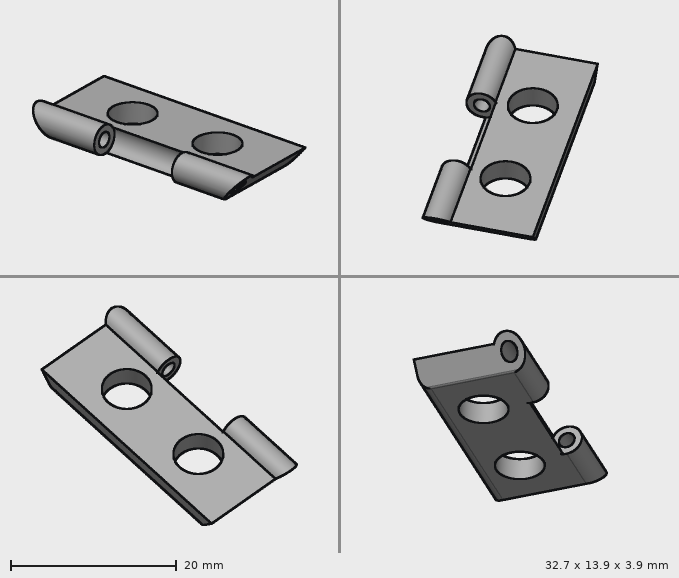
import cadquery as cq
import math

length = 32.68
depth = 13.9
height = 3.9

leaf_thickness = 2.9
back_edge_radius = 1.3
end_angle = 50.0
end_base_fillet = 0.4

barrel_radius = height / 2
pin_diameter = 2.0
barrel_z = height - barrel_radius
back_y = depth - barrel_radius

gap_length = 11.95
gap_radius = 2.0

screw_hole_diameter = 6.0
screw_hole_spacing = 13.07
screw_hole_back_distance = 5.75


def cylinder_along_x(radius, cylinder_length):
    """Cylinder centred in X on the barrel axis."""
    return (
        cq.Workplane("YZ", origin=(-cylinder_length / 2, 0, 0))
        .center(0, barrel_z)
        .circle(radius)
        .extrude(cylinder_length)
    )


def make_leaf():
    """Flat leaf with a rounded lower back edge."""
    return (
        cq.Workplane("XY")
        .box(length, back_y, leaf_thickness, centered=(True, False, False))
        .edges("|X and >Y and <Z")
        .fillet(back_edge_radius)
    )


def make_end_envelope():
    """Trapezoidal prism whose sloping sides trim both ends."""
    half_top = length / 2
    half_base = half_top - height / math.tan(math.radians(end_angle))
    return (
        cq.Workplane("XZ", origin=(0, back_y, 0))
        .polyline([
            (-half_base, 0),
            (half_base, 0),
            (half_top, height),
            (-half_top, height),
        ])
        .close()
        .extrude(depth)
        .edges("|Y and <Z")
        .fillet(end_base_fillet)
    )


def make_gap():
    """Coaxial clearance, open to the front, for the mating knuckle."""
    front_clearance = cq.Workplane("XY").box(
        gap_length, gap_radius, height, centered=(True, False, False)
    ).translate((0, -gap_radius, 0))
    return cylinder_along_x(gap_radius, gap_length).union(front_clearance)


def make_screw_holes():
    """Pair of through-hole cutters."""
    hole_x = screw_hole_spacing / 2
    hole_y = back_y - screw_hole_back_distance
    return (
        cq.Workplane("XY")
        .pushPoints([(-hole_x, hole_y), (hole_x, hole_y)])
        .circle(screw_hole_diameter / 2)
        .extrude(height)
    )


body = make_leaf().union(cylinder_along_x(barrel_radius, length))
body = body.intersect(make_end_envelope())
body = body.cut(make_gap())
body = body.cut(cylinder_along_x(pin_diameter / 2, length))
result = body.cut(make_screw_holes())